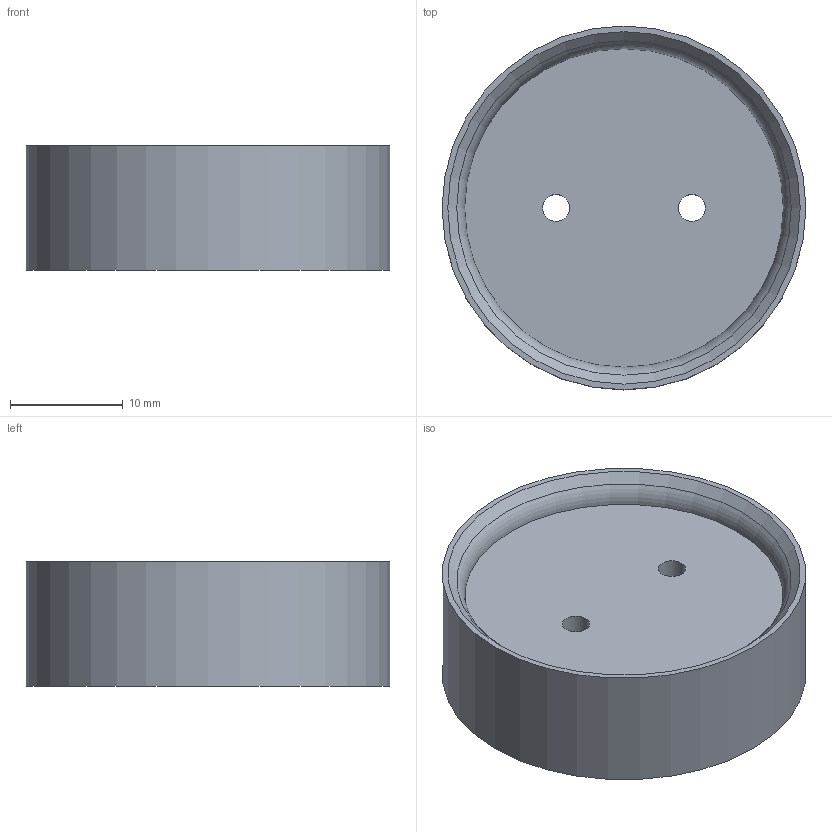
import cadquery as cq
import math

outer_diameter = 32.2
height = 11.0

rim_width = 0.5
recess_depth = 2.5
mouth_inset = 1.5
mouth_angle = math.radians(45)

hole_diameter = 2.4
hole_spacing = 12.0

outer_radius = outer_diameter / 2
mouth_radius = outer_radius - rim_width
floor_radius = mouth_radius - mouth_inset
floor_z = height - recess_depth

corner_z = height - mouth_inset * math.tan(mouth_angle)
tangent_length = corner_z - floor_z
lip_radius = tangent_length / math.tan(mouth_angle / 2)


def lip_point(angle):
    """Point of the rounding (radius, Z), with the angle measured up from the floor."""
    radius = floor_radius + lip_radius * (1 - math.cos(angle))
    return radius, floor_z + lip_radius * math.sin(angle)


def make_body():
    """Revolve the half section of the base and its recess about Z."""
    section = (
        cq.Workplane("XZ")
        .lineTo(outer_radius, 0)
        .lineTo(outer_radius, height)
        .lineTo(mouth_radius, height)
        .lineTo(*lip_point(mouth_angle))
        .threePointArc(lip_point(mouth_angle / 2), lip_point(0))
        .lineTo(0, floor_z)
        .close()
    )
    return section.revolve(360, (0, 0, 0), (0, 1, 0))


def make_holes():
    """Two upright pins, as tall as the base, that cut the through holes."""
    centers = [(-hole_spacing / 2, 0), (hole_spacing / 2, 0)]
    return cq.Workplane("XY").pushPoints(centers).circle(hole_diameter / 2).extrude(height)


result = make_body().cut(make_holes())